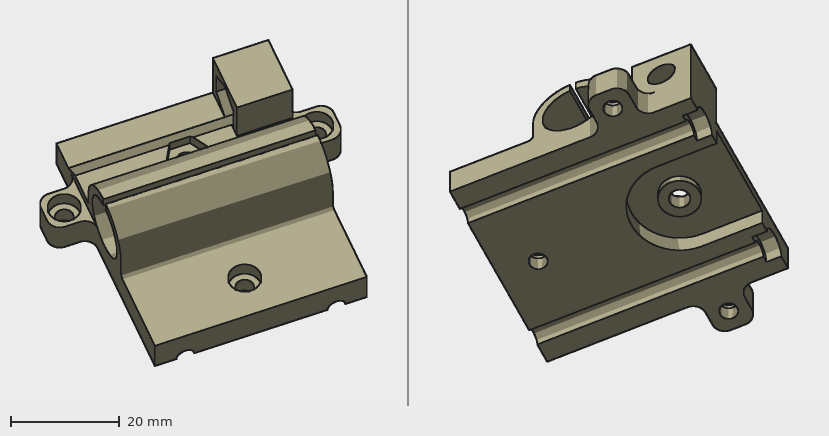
import cadquery as cq
import math

base_length = 49.0
base_width = 42.0
base_height = 6.5

screw_radius = 1.75
head_radius = 3.1
head_depth = 3.0

overall_width = 58.0
tab_reach = (overall_width - base_width) / 2
tab_width = tab_reach
tab_x = 14.0
tab_corner_radius = 2.5

tube_x = 24.0
tube_radius = 8.1
bore_radius = 6.15
overall_height = 19.6
tube_z = overall_height - tube_radius
tube_left = tube_x - tube_radius
tube_right = tube_x + tube_radius
slit_width = 1.15
foot_fillet = 1.0

block_length = 12.0
block_width = 11.0
block_height = 17.5
block_front = base_width / 2 - block_width
big_nut_diameter = 9.85
big_nut_depth = 5.0
big_nut_x = block_length / 2
big_nut_z = tube_z
big_bolt_radius = 2.8

ridge_height = 8.45
ramp_start = big_nut_z - big_nut_diameter / 2
ramp_angle = 30
ramp_run = (ridge_height - ramp_start) / math.tan(math.radians(ramp_angle))

axle_x = 12.2
axle_radius = 2.0
axle_nut_diameter = 8.05
axle_nut_floor = 6.0
pocket_radius = 9.8
pocket_height = 4.0
spacer_radius = 4.0
spacer_height = 1.5

side_screw_x = 40.95
channel_y = 14.95


def box(x_min, x_max, y_min, y_max, z_min, z_max):
    """Axis-aligned box between the given limits."""
    size = (x_max - x_min, y_max - y_min, z_max - z_min)
    return cq.Workplane("XY").box(*size, centered=False).translate((x_min, y_min, z_min))


def along_y(section):
    """Extrude an XZ section over the full base width."""
    return section.extrude(base_width / 2, both=True)


def upright_cylinder(x, y, radius, z_min, z_max):
    return cq.Workplane("XY", origin=(x, y, z_min)).circle(radius).extrude(z_max - z_min)


def upright_screw_hole(x, y):
    """Through hole with a counterbore from the top of the plate."""
    hole = upright_cylinder(x, y, screw_radius, 0, base_height)
    return hole.union(upright_cylinder(x, y, head_radius, base_height - head_depth, base_height))


def tab(side):
    """Tab on one Y end (side is +1 or -1), blended into the base with concave fillets."""
    edge = side * base_width / 2
    end = edge + side * tab_reach
    half = tab_width / 2
    radius = tab_corner_radius
    bulge = radius * math.sqrt(0.5)
    corner_mid = (half - radius + bulge, end - side * (radius - bulge))
    blend_mid = (half + radius - bulge, edge + side * (radius - bulge))
    return (
        cq.Workplane("XY", origin=(tab_x, 0, 0))
        .moveTo(-half - radius, edge)
        .threePointArc((-blend_mid[0], blend_mid[1]), (-half, edge + side * radius))
        .lineTo(-half, end - side * radius)
        .threePointArc((-corner_mid[0], corner_mid[1]), (-half + radius, end))
        .lineTo(half - radius, end)
        .threePointArc(corner_mid, (half, end - side * radius))
        .lineTo(half, edge + side * radius)
        .threePointArc(blend_mid, (half + radius, edge))
        .close()
        .extrude(base_height)
    )


def ridge():
    return along_y(
        cq.Workplane("XZ")
        .moveTo(big_nut_x, base_height)
        .lineTo(big_nut_x, ramp_start)
        .lineTo(big_nut_x + ramp_run, ridge_height)
        .lineTo(tube_x, ridge_height)
        .lineTo(tube_x, base_height)
        .close()
    )


def tube_body():
    """Solid arch with a filleted foot on both sides, standing in the plate."""
    tangent_z = base_height + foot_fillet
    inset = foot_fillet * (1 - math.sqrt(0.5))
    return along_y(
        cq.Workplane("XZ")
        .moveTo(tube_left - foot_fillet, axle_nut_floor)
        .lineTo(tube_left - foot_fillet, base_height)
        .threePointArc((tube_left - inset, base_height + inset), (tube_left, tangent_z))
        .lineTo(tube_left, tube_z)
        .threePointArc((tube_x, overall_height), (tube_right, tube_z))
        .lineTo(tube_right, tangent_z)
        .threePointArc((tube_right + inset, base_height + inset), (tube_right + foot_fillet, base_height))
        .lineTo(tube_right + foot_fillet, axle_nut_floor)
        .close()
    )


def tube_cut():
    """Bore and the slit along its top."""
    bore = along_y(cq.Workplane("XZ", origin=(tube_x, 0, tube_z)).circle(bore_radius))
    half = slit_width / 2
    slit = box(
        tube_x - half, tube_x + half, -base_width / 2, base_width / 2, tube_z, overall_height
    )
    return bore.union(slit)


def big_nut_cut():
    """Bolt hole through the corner block, with the hexagonal trap in its front."""
    front = cq.Workplane("XZ", origin=(big_nut_x, block_front, big_nut_z))
    trap = (
        front.transformed(rotate=(0, 0, 90))
        .polygon(6, big_nut_diameter)
        .extrude(-big_nut_depth)
    )
    return trap.union(front.circle(big_bolt_radius).extrude(-block_width))


def axle_nut_cut():
    return (
        cq.Workplane("XY", origin=(axle_x, 0, axle_nut_floor))
        .transformed(rotate=(0, 0, 90))
        .polygon(6, axle_nut_diameter)
        .extrude(ridge_height - axle_nut_floor)
    )


def wheel_pocket():
    """Round-ended pocket open to the left side, leaving a spacer ring under its ceiling."""
    pocket = upright_cylinder(axle_x, 0, pocket_radius, 0, pocket_height)
    pocket = pocket.union(box(0, axle_x, -pocket_radius, pocket_radius, 0, pocket_height))
    spacer_bottom = pocket_height - spacer_height
    return pocket.cut(upright_cylinder(axle_x, 0, spacer_radius, spacer_bottom, pocket_height))


def channel(y):
    """Half-round screw channel along X in the underside, with a wider head seat on the left."""
    start = cq.Workplane("YZ", origin=(0, y, 0))
    return start.circle(screw_radius).extrude(base_length).union(
        start.circle(head_radius).extrude(head_depth)
    )


body = box(0, base_length, -base_width / 2, base_width / 2, 0, base_height)
for side in (-1, 1):
    body = body.union(tab(side))
body = body.union(ridge())

body = body.cut(axle_nut_cut())
body = body.union(tube_body())
body = body.cut(tube_cut())

body = body.union(box(0, block_length, block_front, base_width / 2, 0, block_height))
body = body.cut(big_nut_cut())

body = body.cut(wheel_pocket())
body = body.cut(upright_cylinder(axle_x, 0, axle_radius, 0, ridge_height))
body = body.cut(upright_screw_hole(side_screw_x, 0))
for side in (-1, 1):
    body = body.cut(upright_screw_hole(tab_x, side * (base_width + tab_reach) / 2))
    body = body.cut(channel(side * channel_y))

result = body